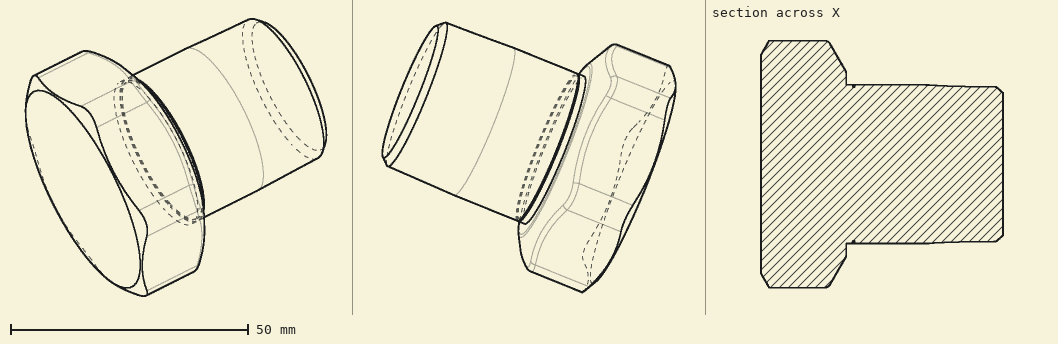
import cadquery as cq
import math

side_count = 6
half_side_angle = math.pi / side_count
across_flats = 46.8
across_corners = 52.05
head_length = 18.0
front_face_radius = 23.0
back_face_radius = 19.4
chamfer_angle = math.radians(30)
corner_clearance = 1.05
back_edge_radius = 1.3

total_length = 51.0
shank_radius = 16.75
taper_start = 34.25
taper_end_radius = 16.35
tip_chamfer_length = 1.5
tip_face_radius = 15.0

collar_length = 1.4
groove_width = 0.25
groove_depth = 0.5


def hexagon_prism():
    """Hexagon bar whose corners are rounded down to the across-corners size."""
    sharp_corners = across_flats / math.cos(half_side_angle)
    corner_radius = (sharp_corners - across_corners) / 2 / (1 / math.cos(half_side_angle) - 1)
    return (
        cq.Workplane("XZ")
        .polygon(side_count, sharp_corners)
        .extrude(-head_length)
        .rotate((0, 0, 0), (0, 1, 0), math.degrees(half_side_angle))
        .edges("|Y")
        .fillet(corner_radius)
    )


def chamfer_envelope():
    """Body of revolution whose two cones cut the head's corners."""
    outer_radius = across_corners / 2 + corner_clearance
    front_chamfer = (outer_radius - front_face_radius) * math.tan(chamfer_angle)
    back_chamfer = (outer_radius - back_face_radius) * math.tan(chamfer_angle)
    return (
        cq.Workplane("XY")
        .moveTo(0, 0)
        .lineTo(front_face_radius, 0)
        .lineTo(outer_radius, front_chamfer)
        .lineTo(outer_radius, head_length - back_chamfer)
        .lineTo(back_face_radius, head_length)
        .lineTo(0, head_length)
        .close()
        .revolve(360, (0, 0, 0), (0, 1, 0))
    )


def head():
    """Chamfered hexagon with both rims of its back cone rounded."""
    chamfered = hexagon_prism().intersect(chamfer_envelope())
    back_cone = chamfered.faces("%CONE").faces(">Y")
    return back_cone.edges().fillet(back_edge_radius)


def shank():
    """Cylinder with a groove at the head, a tapered end and a chamfered tip."""
    groove_start = head_length + collar_length
    groove_end = groove_start + groove_width
    groove_radius = shank_radius - groove_depth
    taper_end = total_length - tip_chamfer_length
    return (
        cq.Workplane("XY")
        .moveTo(0, head_length)
        .lineTo(shank_radius, head_length)
        .lineTo(shank_radius, groove_start)
        .lineTo(groove_radius, groove_start)
        .lineTo(groove_radius, groove_end)
        .lineTo(shank_radius, groove_end)
        .lineTo(shank_radius, taper_start)
        .lineTo(taper_end_radius, taper_end)
        .lineTo(tip_face_radius, total_length)
        .lineTo(0, total_length)
        .close()
        .revolve(360, (0, 0, 0), (0, 1, 0))
    )


result = head().union(shank())